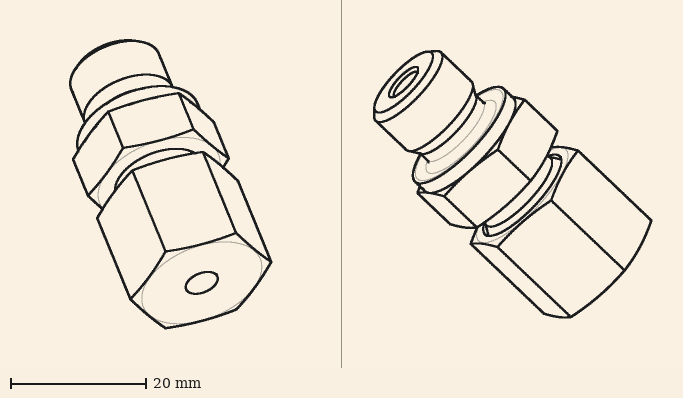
import cadquery as cq
import math


total_length = 42.0
across_flats = 19.0
across_corners = across_flats / math.cos(math.radians(30))
bore_radius = 2.5
bore_chamfer = 0.5

stud_radius = 7.0
stud_chamfer = 1.0
stud_relief_radius = 5.95
relief_angle = 30.0
stud_relief_end = 9.35
stud_cone_length = (stud_radius - stud_relief_radius) / math.tan(math.radians(relief_angle))
stud_relief_start = stud_relief_end - stud_cone_length

collar_start = 11.9
collar_radius = across_flats / 2
collar_edge_radius = 8.95
collar_fillet = 1.25
collar_overlap = 0.1
fillet_start = 11.05
fillet_end = fillet_start + collar_fillet
fillet_outer_radius = stud_relief_radius + collar_fillet

body_hex_start = 14.0
body_hex_end = 21.85
collar_end = body_hex_start + collar_overlap

spigot_relief_radius = 6.9
spigot_relief_end = 24.6
spigot_radius = 8.0
spigot_cone_length = (spigot_radius - spigot_relief_radius) / math.tan(math.radians(relief_angle))
spigot_cone_end = spigot_relief_end + spigot_cone_length
spigot_end = 34.0

nut_start = 25.4

hex_chamfer_angle = 15.0
hex_face_radius = 9.35
hex_shoulder_radius = across_flats / 2
rim_clearance = 1.0


def revolve_about_x(profile):
    return profile.close().revolve(360, (0, 0, 0), (1, 0, 0))


def bore(start, end, radius):
    return cq.Workplane("YZ", origin=(start, 0, 0)).circle(radius).extrude(end - start)


def chamfered_hex(start, end, start_face_radius, end_face_radius):
    """Hexagon with flats facing up and down and both ends turned to a shallow cone."""
    prism = cq.Workplane("YZ", origin=(start, 0, 0)).polygon(6, across_corners).extrude(end - start)
    rim_radius = across_corners / 2 + rim_clearance
    slope = math.tan(math.radians(hex_chamfer_angle))
    start_cone_length = (rim_radius - start_face_radius) * slope
    end_cone_length = (rim_radius - end_face_radius) * slope
    envelope = revolve_about_x(
        cq.Workplane("XY")
        .moveTo(start, 0)
        .lineTo(start, start_face_radius)
        .lineTo(start + start_cone_length, rim_radius)
        .lineTo(end - end_cone_length, rim_radius)
        .lineTo(end, end_face_radius)
        .lineTo(end, 0)
    )
    return prism.intersect(envelope)


def make_body():
    fillet_mid = (
        fillet_start + collar_fillet * math.sin(math.radians(45)),
        fillet_outer_radius - collar_fillet * math.cos(math.radians(45)),
    )
    turned = revolve_about_x(
        cq.Workplane("XY")
        .moveTo(0, 0)
        .lineTo(0, stud_radius - stud_chamfer)
        .lineTo(stud_chamfer, stud_radius)
        .lineTo(stud_relief_start, stud_radius)
        .lineTo(stud_relief_end, stud_relief_radius)
        .lineTo(fillet_start, stud_relief_radius)
        .threePointArc(fillet_mid, (fillet_end, fillet_outer_radius))
        .lineTo(collar_start, collar_edge_radius)
        .lineTo(collar_start, collar_radius)
        .lineTo(collar_end, collar_radius)
        .lineTo(collar_end, spigot_relief_radius)
        .lineTo(spigot_relief_end, spigot_relief_radius)
        .lineTo(spigot_cone_end, spigot_radius)
        .lineTo(spigot_end, spigot_radius)
        .lineTo(spigot_end, 0)
    )
    mouth = revolve_about_x(
        cq.Workplane("XY")
        .moveTo(0, 0)
        .lineTo(0, bore_radius + bore_chamfer)
        .lineTo(bore_chamfer, bore_radius)
        .lineTo(bore_chamfer, 0)
    )
    hexagon = chamfered_hex(body_hex_start, body_hex_end, hex_face_radius, hex_shoulder_radius)
    return turned.union(hexagon).cut(bore(0, spigot_end, bore_radius)).cut(mouth)


def make_nut():
    socket = bore(nut_start, spigot_end, spigot_radius)
    tube_hole = bore(spigot_end, total_length, bore_radius)
    hexagon = chamfered_hex(nut_start, total_length, hex_face_radius, hex_face_radius)
    return hexagon.cut(socket).cut(tube_hole)


body = make_body()
nut = make_nut()

result = cq.Compound.makeCompound([body.val(), nut.val()])